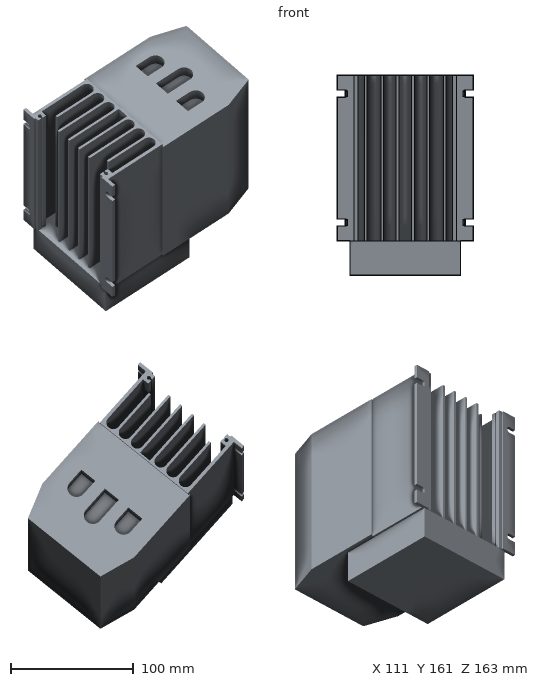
import cadquery as cq

TOTAL_WIDTH = 111.0
TOTAL_DEPTH = 161.0
TOTAL_HEIGHT = 163.0

FAN_SIZE = 90.0
FAN_HEIGHT = 28.0
FAN_FRONT_Y = 2.0

SINK_WIDTH = 94.0
SINK_BACK_Y = 61.0
SINK_HEIGHT = TOTAL_HEIGHT - FAN_HEIGHT
FLANGE_THICKNESS = 3.0
FLANGE_INNER_X = 41.9

FIN_THICKNESS = 2.1
INNER_CHANNEL_WIDTH = 10.5
OUTER_CHANNEL_WIDTH = 11.1
CHANNEL_END_Y = 59.3
LONG_FIN_TIP_Y = 6.4
SHORT_FIN_TIP_Y = 15.5

BEAD_INNER_X = 38.5
BEAD_FRONT_Y = 1.3
BEAD_BACK_Y = 9.8
SCREW_BORE_X = 41.4
SCREW_BORE_Y = 5.5
SCREW_BORE_DIAMETER = 3.3
SCREW_SLIT_WIDTH = 1.5

MOUNT_SLOT_WIDTH = 5.5
MOUNT_SLOT_ARC_CENTER_X = 49.2
MOUNT_SLOT_SPACING = 105.0

COVER_WIDTH = 98.0
COVER_BACK_WIDTH = 77.5
COVER_TAPER_Y = 130.7
COVER_BOTTOM_INSET = 0.7
COVER_TOP_INSET = 1.3
COVER_BOTTOM_Z = FAN_HEIGHT + COVER_BOTTOM_INSET
COVER_TOP_Z = TOTAL_HEIGHT - COVER_TOP_INSET
COVER_LIP_THICKNESS = 0.7
COVER_LIP_LENGTH = 0.7

POCKET_WIDTH = 14.8
POCKET_SPACING = 25.1
POCKET_FRONT_Y = 101.0
MIDDLE_POCKET_BACK_Y = 132.4
SIDE_POCKET_BACK_Y = 123.2
POCKET_DEPTH = 10.0

SIDES = (-1, 1)


def block(x_range, y_range, z_range):
    """Box between two limits on each axis; the X limits may come in either order."""
    x_min, x_max = sorted(x_range)
    y_min, y_max = y_range
    z_min, z_max = z_range
    return cq.Workplane("XY").box(
        x_max - x_min, y_max - y_min, z_max - z_min, centered=False
    ).translate((x_min, y_min, z_min))


def arched_prism(center_x, width, front_y, back_y, z_range):
    """Prism with a square front end and a half-round back end."""
    half = width / 2
    z_min, z_max = z_range
    return (
        cq.Workplane("XY", origin=(center_x, 0, z_min))
        .moveTo(-half, front_y)
        .lineTo(half, front_y)
        .lineTo(half, back_y - half)
        .threePointArc((0, back_y), (-half, back_y - half))
        .close()
        .extrude(z_max - z_min)
    )


def make_sink():
    z_range = (FAN_HEIGHT, TOTAL_HEIGHT)
    half_width = SINK_WIDTH / 2

    middle_edge_x = INNER_CHANNEL_WIDTH / 2
    inner_near_x = middle_edge_x + FIN_THICKNESS
    inner_far_x = inner_near_x + INNER_CHANNEL_WIDTH
    second_near_x = inner_far_x + FIN_THICKNESS
    second_far_x = second_near_x + OUTER_CHANNEL_WIDTH
    third_near_x = second_far_x + FIN_THICKNESS
    third_far_x = third_near_x + OUTER_CHANNEL_WIDTH

    sink = block((-half_width, half_width), (0, SINK_BACK_Y), z_range)
    sink = sink.union(
        block((-TOTAL_WIDTH / 2, TOTAL_WIDTH / 2), (0, FLANGE_THICKNESS), z_range)
    )

    sink = sink.cut(block((-third_far_x, third_far_x), (BEAD_BACK_Y, SHORT_FIN_TIP_Y), z_range))
    sink = sink.cut(block((-BEAD_INNER_X, BEAD_INNER_X), (0, BEAD_BACK_Y), z_range))
    sink = sink.cut(block((-FLANGE_INNER_X, FLANGE_INNER_X), (0, BEAD_FRONT_Y), z_range))

    sink = sink.cut(
        block((-middle_edge_x, middle_edge_x), (SHORT_FIN_TIP_Y, CHANNEL_END_Y), z_range)
    )
    channels = (
        (inner_near_x, inner_far_x),
        (second_near_x, second_far_x),
        (third_near_x, third_far_x),
    )
    for side in SIDES:
        for near_x, far_x in channels:
            center_x = side * (near_x + far_x) / 2
            sink = sink.cut(
                arched_prism(center_x, far_x - near_x, SHORT_FIN_TIP_Y, CHANNEL_END_Y, z_range)
            )

        for fin_x in (middle_edge_x, inner_far_x):
            fin_limits = (side * fin_x, side * (fin_x + FIN_THICKNESS))
            sink = sink.union(block(fin_limits, (LONG_FIN_TIP_Y, SHORT_FIN_TIP_Y), z_range))

        sink = sink.cut(make_screw_channel(side))
        sink = sink.cut(make_mount_slots(side))
    return sink


def make_screw_channel(side):
    """Screw bore along Z, opened by a slit towards the middle of the sink."""
    bore = (
        cq.Workplane("XY", origin=(side * SCREW_BORE_X, SCREW_BORE_Y, FAN_HEIGHT))
        .circle(SCREW_BORE_DIAMETER / 2)
        .extrude(SINK_HEIGHT)
    )
    slit = block(
        (side * BEAD_INNER_X, side * SCREW_BORE_X),
        (SCREW_BORE_Y - SCREW_SLIT_WIDTH / 2, SCREW_BORE_Y + SCREW_SLIT_WIDTH / 2),
        (FAN_HEIGHT, TOTAL_HEIGHT),
    )
    return bore.union(slit)


def make_mount_slots(side):
    """Upper and lower slots, open at the flange edge, rounded inwards and stopped by the side wall."""
    radius = MOUNT_SLOT_WIDTH / 2
    middle_z = FAN_HEIGHT + SINK_HEIGHT / 2
    slots = cq.Workplane("XY")
    for level in (-1, 1):
        z = middle_z + level * MOUNT_SLOT_SPACING / 2
        slots = slots.union(
            block(
                (side * MOUNT_SLOT_ARC_CENTER_X, side * TOTAL_WIDTH / 2),
                (0, FLANGE_THICKNESS),
                (z - radius, z + radius),
            )
        )
        rounded_end = (
            cq.Workplane("XZ", origin=(side * MOUNT_SLOT_ARC_CENTER_X, 0, z))
            .circle(radius)
            .extrude(-FLANGE_THICKNESS)
        )
        slots = slots.union(rounded_end)
    wall = block(
        (0, side * SINK_WIDTH / 2), (0, FLANGE_THICKNESS), (FAN_HEIGHT, TOTAL_HEIGHT)
    )
    return slots.cut(wall)


def make_cover():
    half_width = COVER_WIDTH / 2
    half_back = COVER_BACK_WIDTH / 2
    lip_inner_x = half_width - COVER_LIP_THICKNESS
    outline = [
        (-half_width, SINK_BACK_Y),
        (half_width, SINK_BACK_Y),
        (half_width, COVER_TAPER_Y),
        (half_back, TOTAL_DEPTH),
        (-half_back, TOTAL_DEPTH),
        (-half_width, COVER_TAPER_Y),
    ]
    cover = (
        cq.Workplane("XY", origin=(0, 0, COVER_BOTTOM_Z))
        .polyline(outline)
        .close()
        .extrude(COVER_TOP_Z - COVER_BOTTOM_Z)
    )

    for side in SIDES:
        lip = block(
            (side * lip_inner_x, side * half_width),
            (SINK_BACK_Y - COVER_LIP_LENGTH, SINK_BACK_Y),
            (COVER_BOTTOM_Z, COVER_TOP_Z),
        )
        cover = cover.union(lip)

    pocket_z = (COVER_TOP_Z - POCKET_DEPTH, COVER_TOP_Z)
    for column in (-1, 0, 1):
        back_y = MIDDLE_POCKET_BACK_Y if column == 0 else SIDE_POCKET_BACK_Y
        cover = cover.cut(
            arched_prism(column * POCKET_SPACING, POCKET_WIDTH, POCKET_FRONT_Y, back_y, pocket_z)
        )
    return cover


fan = block(
    (-FAN_SIZE / 2, FAN_SIZE / 2),
    (FAN_FRONT_Y, FAN_FRONT_Y + FAN_SIZE),
    (0, FAN_HEIGHT),
)

result = make_sink().union(make_cover()).union(fan)